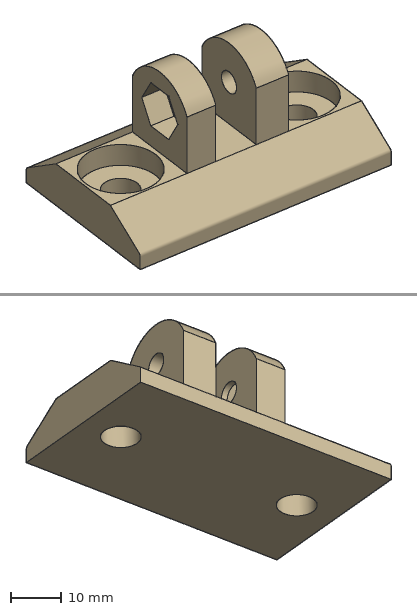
import cadquery as cq
import math

BASE_WIDTH = 38.1
BASE_LENGTH = 62.0
BASE_HEIGHT = 10.0
FLANK_BASE_HEIGHT = 3.55
RIDGE_WIDTH = 18.2
FLANK_EDGE_RADIUS = 1.0

MOUNT_SPACING = 43.5
MOUNT_HOLE_DIAMETER = 8.1
MOUNT_BORE_DIAMETER = 17.25
MOUNT_BORE_DEPTH = 5.0

TOTAL_HEIGHT = 29.4
LUG_GAP = 10.0
FRONT_LUG_THICKNESS = 7.1
REAR_LUG_THICKNESS = 8.0
LUG_TOP_RADIUS = 10.0

PIVOT_HEIGHT = 20.0
PIVOT_DIAMETER = 5.0
NUT_ACROSS_FLATS = 10.4
NUT_POCKET_DEPTH = 5.7


def make_base():
    half_width = BASE_WIDTH / 2
    half_ridge = RIDGE_WIDTH / 2
    base = (
        cq.Workplane("XZ")
        .moveTo(-half_width, 0)
        .lineTo(half_width, 0)
        .lineTo(half_width, FLANK_BASE_HEIGHT)
        .lineTo(half_ridge, BASE_HEIGHT)
        .lineTo(-half_ridge, BASE_HEIGHT)
        .lineTo(-half_width, FLANK_BASE_HEIGHT)
        .close()
        .extrude(BASE_LENGTH / 2, both=True)
    )
    for flank_side in (">X", "<X"):
        base = base.faces(flank_side).edges(">Z").fillet(FLANK_EDGE_RADIUS)
    return base


def make_lug(y_start, thickness):
    """Ear standing on the ridge, reaching from y_start toward +Y."""
    half_width = RIDGE_WIDTH / 2
    arc_center_height = TOTAL_HEIGHT - LUG_TOP_RADIUS
    shoulder_height = arc_center_height + math.sqrt(LUG_TOP_RADIUS**2 - half_width**2)
    return (
        cq.Workplane("XZ", origin=(0, y_start, 0))
        .moveTo(-half_width, 0)
        .lineTo(half_width, 0)
        .lineTo(half_width, shoulder_height)
        .threePointArc((0, TOTAL_HEIGHT), (-half_width, shoulder_height))
        .close()
        .extrude(-thickness)
    )


def cut_mount_holes(body):
    return (
        body.copyWorkplane(cq.Workplane("XY", origin=(0, 0, BASE_HEIGHT)))
        .pushPoints([(0, -MOUNT_SPACING / 2), (0, MOUNT_SPACING / 2)])
        .cboreHole(MOUNT_HOLE_DIAMETER, MOUNT_BORE_DIAMETER, MOUNT_BORE_DEPTH)
    )


def cut_pivot(body, front_face_y):
    pivot_hole = (
        cq.Workplane("XZ", origin=(0, 0, PIVOT_HEIGHT))
        .circle(PIVOT_DIAMETER / 2)
        .extrude(BASE_LENGTH / 2, both=True)
    )
    nut_across_corners = NUT_ACROSS_FLATS / math.cos(math.pi / 6)
    nut_pocket = (
        cq.Workplane("XZ", origin=(0, front_face_y, PIVOT_HEIGHT))
        .polygon(6, nut_across_corners)
        .extrude(-NUT_POCKET_DEPTH)
    )
    return body.cut(pivot_hole).cut(nut_pocket)


front_lug_face_y = -LUG_GAP / 2 - FRONT_LUG_THICKNESS

body = make_base()
body = body.union(make_lug(front_lug_face_y, FRONT_LUG_THICKNESS))
body = body.union(make_lug(LUG_GAP / 2, REAR_LUG_THICKNESS))
body = cut_mount_holes(body)
result = cut_pivot(body, front_lug_face_y)